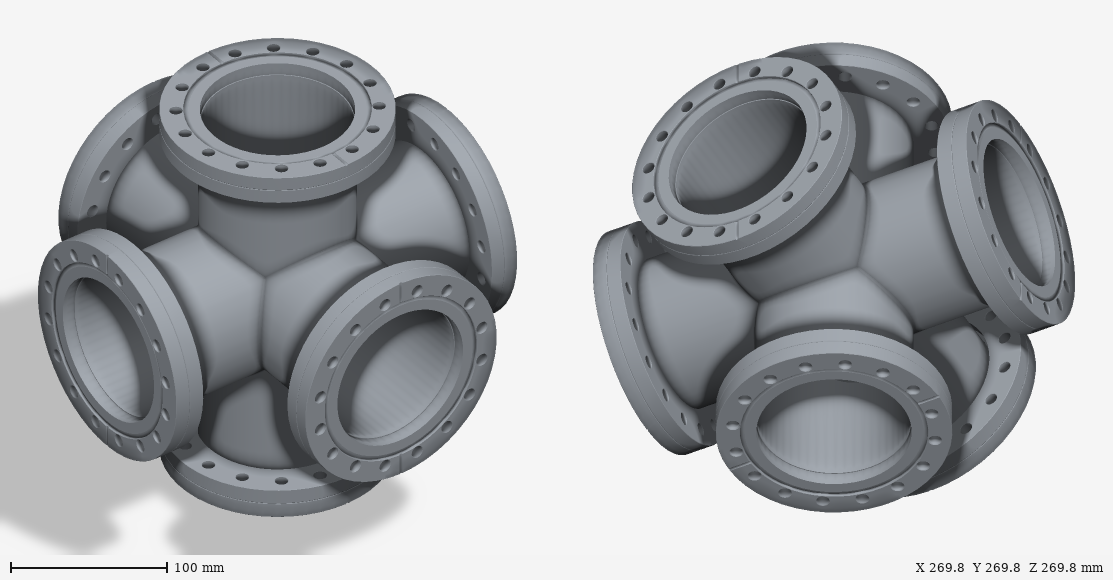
import cadquery as cq
import math

overall_size = 269.8
half_size = overall_size / 2
tube_outer_d = 101.7
tube_bore_d = 98.2
junction_fillet = 1.48

flange_d = 151.5
flange_bore_d = 99.5
tube_socket_d = 102.0
tube_seat_depth = 10.0
bolt_count = 16
bolt_hole_d = 8.4
bolt_circle_d = 130.3
edge_chamfer = 0.3

recess_d = 120.5
knife_edge_d = 114.7
knife_edge_depth = 1.0
recess_depth = 2.2

leak_groove_width = 2.5
leak_groove_depth = 0.8
rim_groove_width = 0.8
rim_groove_depth = 0.3

fixed_thickness = 20.0
rotatable_thickness = 21.3
ring_rear_bore_d = 106.3
insert_rear_depth = 13.5


def revolved(profile):
    """Solid of revolution around Z from (radius, height) points."""
    return cq.Workplane("XZ").polyline(profile).close().revolve(360, (0, 0), (0, 1))


def bolt_holes(thickness):
    """Drills for the bolt circle, widened to a chamfer at both ends."""
    radius = bolt_hole_d / 2
    wide = radius + edge_chamfer
    drill = revolved(
        [
            (0, 0),
            (wide, 0),
            (radius, -edge_chamfer),
            (radius, edge_chamfer - thickness),
            (wide, -thickness),
            (0, -thickness),
        ]
    ).val()
    half_step = 180 / bolt_count
    return (
        cq.Workplane("XY")
        .polarArray(bolt_circle_d / 2, half_step, 360, bolt_count)
        .eachpoint(lambda place: drill.moved(place))
    )


def leak_grooves():
    """Round-bottomed grooves along X, from the recess out through the rim on both sides."""
    half_width = leak_groove_width / 2
    start = math.sqrt((recess_d / 2) ** 2 - half_width**2)
    groove = (
        cq.Workplane("YZ", origin=(start, 0, 0))
        .moveTo(-half_width, 0)
        .threePointArc((0, -leak_groove_depth), (half_width, 0))
        .close()
        .extrude(flange_d / 2 - start)
    )
    return groove.union(groove.rotate((0, 0, 0), (0, 0, 1), 180))


def knife_face():
    """Face profile from the recess wall over the knife edge to the bore."""
    return [
        (recess_d / 2, -recess_depth),
        (knife_edge_d / 2, -knife_edge_depth),
        (flange_bore_d / 2, -knife_edge_depth),
    ]


def bore_and_socket(rear):
    """Bore profile down to the tube seat, then the wider tube socket to the rear."""
    return [
        (flange_bore_d / 2, -tube_seat_depth),
        (tube_socket_d / 2, -tube_seat_depth),
        (tube_socket_d / 2, rear),
    ]


def rim(thickness):
    """Outer rim profile, face to rear, with its narrow groove at half thickness."""
    radius = flange_d / 2
    mid = -thickness / 2
    half = rim_groove_width / 2
    return [
        (radius - edge_chamfer, -thickness),
        (radius, edge_chamfer - thickness),
        (radius, mid - half),
        (radius - rim_groove_depth, mid),
        (radius, mid + half),
        (radius, -edge_chamfer),
        (radius - edge_chamfer, 0),
    ]


def recess_mouth():
    """Chamfered mouth of the gasket recess."""
    return [
        (recess_d / 2 + edge_chamfer, 0),
        (recess_d / 2, -edge_chamfer),
    ]


def fixed_flange():
    """One-piece flange, face at Z = 0 and rear below it."""
    t = fixed_thickness
    body = revolved(rim(t) + recess_mouth() + knife_face() + bore_and_socket(-t))
    return body.cut(bolt_holes(t)).cut(leak_grooves())


def rotatable_ring():
    """Bolt ring whose rear shoulder holds the weld insert."""
    t = rotatable_thickness
    shoulder = [
        (recess_d / 2, -insert_rear_depth),
        (ring_rear_bore_d / 2, -insert_rear_depth),
        (ring_rear_bore_d / 2, -t),
    ]
    body = revolved(rim(t) + recess_mouth() + shoulder)
    return body.cut(bolt_holes(t)).cut(leak_grooves())


def weld_insert():
    """Ring with the knife edge, welded to the tube and filling the bolt ring's bore."""
    rear = -insert_rear_depth
    return revolved(knife_face() + bore_and_socket(rear) + [(recess_d / 2, rear)])


def on_port(body, normal, groove):
    """Put a body on the port that faces normal, its grooves along groove."""
    origin = tuple(half_size * n for n in normal)
    return body.val().moved(cq.Plane(origin, groove, normal).location)


def three_rods(diameter, length):
    """Centred round rods along Z, X and Y."""
    rod_z, rod_x, rod_y = [
        cq.Workplane(plane).circle(diameter / 2).extrude(length / 2, both=True)
        for plane in ("XY", "YZ", "XZ")
    ]
    return rod_z.union(rod_x).union(rod_y)


def tube_cross():
    """Six-way tube cross with filleted outer junctions and open ends."""
    length = overall_size - 2 * tube_seat_depth
    outside = three_rods(tube_outer_d, length)
    outside = outside.edges("not %CIRCLE").edges("not %LINE").fillet(junction_fillet)
    return outside.cut(three_rods(tube_bore_d, length))


x_axis = (1, 0, 0)
z_axis = (0, 0, 1)
fixed_ports = [((1, 0, 0), z_axis), ((0, 1, 0), z_axis), ((0, 0, 1), x_axis)]
rotatable_ports = [((-1, 0, 0), z_axis), ((0, -1, 0), z_axis), ((0, 0, -1), x_axis)]

cross = tube_cross()
fixed_flanges = [on_port(fixed_flange(), normal, groove) for normal, groove in fixed_ports]
rings = [on_port(rotatable_ring(), normal, groove) for normal, groove in rotatable_ports]
inserts = [on_port(weld_insert(), normal, groove) for normal, groove in rotatable_ports]

result = cq.Compound.makeCompound([cross.val(), *fixed_flanges, *rings, *inserts])